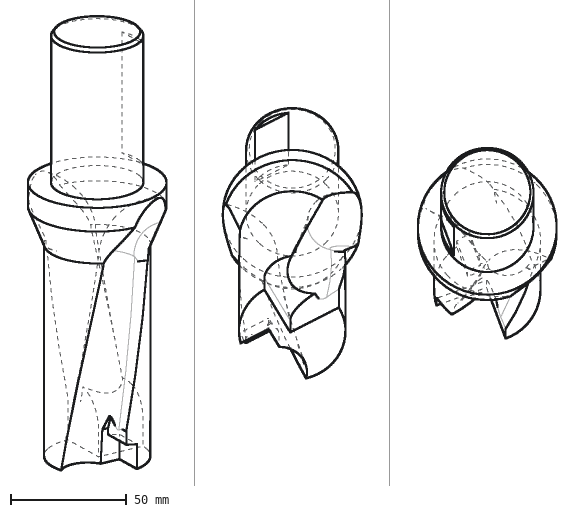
import cadquery as cq
import math

total_height = 196.7
body_top = 98.3
cone_top = 115.8
collar_top = 126.8

body_diameter = 46.0
collar_diameter = 60.0
shank_diameter = 40.0
shank_chamfer_height = 1.8
shank_chamfer_width = 1.4

flat_depth = 1.8
flat_bottom = 134.0
flat_top = 190.0

flute_radius = 11.8
flute_center_x = -17.0
flute_center_y = 10.6
flute_reference_height = 25.5
flute_twist_per_unit = 0.5085

runout_floor_radius = 27.5
runout_direction = 219.0
runout_lean = 13.0
runout_overlap = 13.0

inner_wall_x = 1.0
inner_arc_start = 12.8
inner_arc_radius = 16.1

outer_wall_x = 8.5
outer_wall_top = 15.7
outer_ceiling = 18.9
relief_peak_x = 10.8
relief_peak_height = 22.2
relief_end_x = 14.0
seat_height = 11.6
seat_shoulder = 12.8
seat_depth = 5.9

reach = collar_diameter


def turned_form():
    shank_radius = shank_diameter / 2
    return (
        cq.Workplane("XZ")
        .lineTo(body_diameter / 2, 0)
        .lineTo(body_diameter / 2, body_top)
        .lineTo(collar_diameter / 2, cone_top)
        .lineTo(collar_diameter / 2, collar_top)
        .lineTo(shank_radius, collar_top)
        .lineTo(shank_radius, total_height - shank_chamfer_height)
        .lineTo(shank_radius - shank_chamfer_width, total_height)
        .lineTo(0, total_height)
        .close()
        .revolve(360, (0, 0, 0), (0, 1, 0))
    )


def shank_flat():
    height = flat_top - flat_bottom
    return (
        cq.Workplane("XY", origin=(0, shank_diameter / 2 - flat_depth, flat_bottom))
        .rect(reach, 2 * flat_depth)
        .extrude(height)
        .translate((0, flat_depth, 0))
    )


def slot_outline(plane, center_x, center_y, length):
    """Slot with a round end facing +X and an open end toward -X."""
    return (
        plane.moveTo(center_x - length, center_y - flute_radius)
        .lineTo(center_x, center_y - flute_radius)
        .threePointArc((center_x + flute_radius, center_y), (center_x, center_y + flute_radius))
        .lineTo(center_x - length, center_y + flute_radius)
        .close()
    )


def flute():
    outline = slot_outline(cq.Workplane("XY"), flute_center_x, flute_center_y, reach / 2)
    start_angle = -flute_reference_height * flute_twist_per_unit
    return outline.twistExtrude(body_top, body_top * flute_twist_per_unit).rotate(
        (0, 0, 0), (0, 0, 1), start_angle
    )


def flute_runout():
    """Bent sweep of the slot, bending from the flute out through the collar."""
    bend_offset = runout_floor_radius - flute_radius
    turn = math.radians((body_top - flute_reference_height) * flute_twist_per_unit)
    start_x = flute_center_x * math.cos(turn) - flute_center_y * math.sin(turn)
    start_y = flute_center_x * math.sin(turn) + flute_center_y * math.cos(turn)
    outline = slot_outline(cq.Workplane("XY"), 0, 0, bend_offset)
    return (
        outline.revolve(90 + runout_overlap, (-bend_offset, 2, 0), (-bend_offset, 0, 0))
        .rotate((-bend_offset, 0, 0), (-bend_offset, 1, 0), runout_overlap)
        .rotate((0, 0, 0), (1, 0, 0), runout_lean)
        .rotate((0, 0, 0), (0, 0, 1), runout_direction - 180)
        .translate((start_x, start_y, body_top))
    )


def inner_pocket():
    arc_center_x = inner_wall_x - inner_arc_radius
    half_chord = inner_arc_radius * math.sqrt(0.5)
    return (
        cq.Workplane("XZ")
        .moveTo(-reach, 0)
        .lineTo(inner_wall_x, 0)
        .lineTo(inner_wall_x, inner_arc_start)
        .threePointArc(
            (arc_center_x + half_chord, inner_arc_start + half_chord),
            (arc_center_x, inner_arc_start + inner_arc_radius),
        )
        .lineTo(-reach, inner_arc_start + inner_arc_radius)
        .close()
        .extrude(-reach)
    )


def outer_pocket():
    pocket = (
        cq.Workplane("XZ")
        .moveTo(reach, 0)
        .lineTo(outer_wall_x, 0)
        .lineTo(outer_wall_x, outer_wall_top)
        .lineTo(relief_peak_x, relief_peak_height)
        .lineTo(relief_end_x, outer_ceiling)
        .lineTo(reach, outer_ceiling)
        .close()
        .extrude(reach)
    )
    seat = (
        cq.Workplane("YZ", origin=(outer_wall_x, 0, 0))
        .lineTo(seat_depth, 0)
        .lineTo(seat_depth, seat_height)
        .lineTo(0, seat_shoulder)
        .close()
        .extrude(reach)
    )
    return pocket.union(seat)


result = turned_form().cut(shank_flat())
for side_angle in (0, 180):
    for cutter in (flute(), flute_runout()):
        result = result.cut(cutter.rotate((0, 0, 0), (0, 0, 1), side_angle))
result = result.cut(inner_pocket()).cut(outer_pocket())